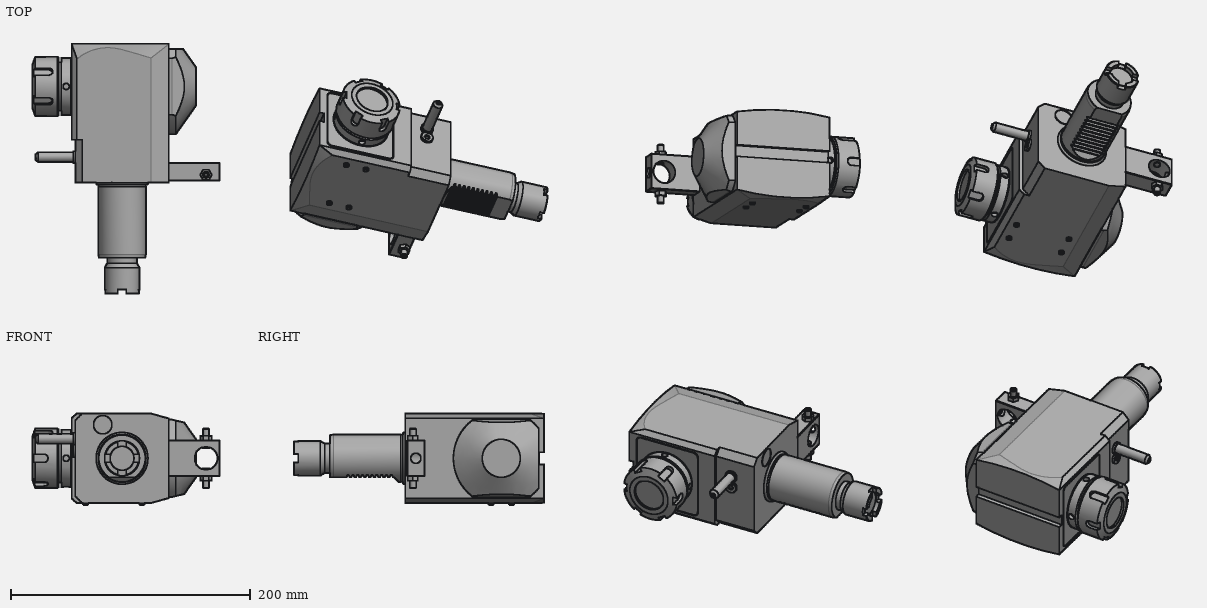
import cadquery as cq


HOUSING_BACK = 116.0
HOUSING_HALF_HEIGHT = 37.5
HOUSING_LEFT = -42.2
HOUSING_RIGHT = 39.2
REAR_EDGE_X = 4.5
REAR_EDGE_Z = 3.9
RIGHT_SLOPE_X = 15.2
RIGHT_SLOPE_Z = 4.2
STEP_Y = 35.5
FRONT_LEFT = -39.0
FRONT_EDGE = 5.8
KEYWAY_WIDTH = 10.0
KEYWAY_DEPTH = 3.9
BEVEL_LEFT_Y = 103.4
BEVEL_RIGHT_Y = 104.2
BEVEL_PEAK = (-13.5, 112.8)
BEVEL_MID_LEFT = (-27.5, 109.7)
BEVEL_MID_RIGHT = (6.0, 109.6)
CROWN_RISE = 3.3

SPINDLE_Y = 80.2
NUT_FRONT = -75.0
NUT_RADIUS = 25.0
NUT_FACE_RADIUS = 18.0
NUT_CONE_LENGTH = 2.5
NUT_BACK = -52.7
NUT_EDGE = 1.2
GROOVE_RADIUS = 20.4
COLLAR_FRONT = -50.7
COLLAR_RADIUS = 24.0
COLLAR_RELIEF_WIDTH = 0.8
COLLAR_RELIEF_DEPTH = 0.4
NOSE_BORE_RADIUS = 13.7
NOSE_BORE_DEPTH = 2.0
NUT_SLOT_COUNT = 6
NUT_SLOT_WIDTH = 6.8
NUT_SLOT_FLOOR = 21.8
NUT_SLOT_END = -61.8
LONG_NUT_SLOT_END = -58.0
COLLAR_HOLE_COUNT = 4
COLLAR_HOLE_DIAMETER = 5.2
COLLAR_HOLE_DEPTH = 4.0
COLLAR_HOLE_X = -46.7
PANEL_WIDTH = 58.2
PANEL_HEIGHT = 62.8
PANEL_RADIUS = 4.5
PANEL_LINE_WIDTH = 0.5
PANEL_LINE_DEPTH = 0.3

COVER_RADIUS = 40.0
COVER_RIM_X = 44.9
COVER_END_X = 61.9
COVER_END_RADIUS = 15.9
COVER_BACK_Y = 111.6
COVER_HALF_HEIGHT = 32.4
COVER_FLAT_END_X = 41.6
COVER_TAPER = 0.24

SHANK_RADIUS = 20.0
SHANK_END = -63.0
SHANK_END_RADIUS = 19.4
SHANK_SHOULDER = -59.9
FLANGE_RADIUS = 21.7
FLANGE_END = -1.9
FLANGE_ROUND = 1.2
RELIEF_RADIUS = 19.8
RELIEF_END = -3.6
NECK_RADIUS = 12.5
NECK_END = -67.4
COUPLING_START = -71.0
COUPLING_RADIUS = 14.6
COUPLING_END = -93.0
COUPLING_EDGE = 0.5
COUPLING_BORE_RADIUS = 10.0
COUPLING_BORE_DEPTH = 4.0
CLAW_SLOT_WIDTH = 6.8
CLAW_SLOT_DEPTH = 3.5
RACK_FLAT_Z = -16.0
RACK_RAMP_END = -9.4
TOOTH_PITCH = 4.0
TOOTH_GAP_COUNT = 10
TOOTH_GAP_FIRST = -11.7
TOOTH_GAP_DEPTH = 1.9
TOOTH_GAP_MOUTH = 2.8
TOOTH_GAP_FLOOR = 1.0

ARM_END = 81.6
ARM_FRONT = 1.4
ARM_BACK = 16.4
ARM_HALF_HEIGHT = 15.0
ARM_EDGE = 0.5
ARM_HOLE_X = 70.1
ARM_HOLE_DIAMETER = 19.0
ARM_END_HOLE_DIAMETER = 8.5
STUD_Y = 6.4
STUD_DIAMETER = 5.3
STUD_TIP = 25.0
STUD_INNER_TIP = 8.5
STUD_EDGE = 0.6
STUD_SOCKET = 2.9
STUD_SOCKET_DEPTH = 2.0
LOCK_NUT_CORNERS = 9.8
LOCK_NUT_HEIGHT = 3.7

FITTING_Y = 21.2
FITTING_DIAMETER = 10.2
FITTING_HEIGHT = 1.9
PIPE_Z = 16.2
PIPE_RADIUS = 4.1
PIPE_TIP = -72.3
PIPE_TIP_RADIUS = 2.3
PIPE_TIP_LENGTH = 2.2
PIPE_SOCKET = 3.0
PIPE_SOCKET_DEPTH = 2.0
PLUG_Z = 6.1
PLUG_SOCKET = 4.6
PLUG_SOCKET_DEPTH = 1.5
FACE_PLUG_X = -16.1
FACE_PLUG_Z = 28.0
FACE_PLUG_DIAMETER = 15.4
FACE_PLUG_RECESS = 0.5
RIVET_CENTRE_X = -6.9
RIVET_SPAN_X = 47.0
RIVET_CENTRE_Y = 80.3
RIVET_SPAN_Y = 17.1
RIVET_DIAMETER = 4.6
RIVET_HEIGHT = 1.6
RIVET_EDGE = 0.9

EMBED = 3.0
CLEAR = 5.0


def box(x0, x1, y0, y1, z0, z1):
    """Axis-aligned box between two corners."""
    return cq.Workplane("XY").box(x1 - x0, y1 - y0, z1 - z0, centered=False).translate((x0, y0, z0))


def on_left(y, z, x):
    """Workplane at X = x whose normal points toward -X."""
    return cq.Workplane(cq.Plane(origin=(x, y, z), xDir=(0, 1, 0), normal=(-1, 0, 0)))


def turned_about_y(profile):
    """Solid of revolution about the Y axis from (radius, y) points."""
    return cq.Workplane("XY").polyline(profile).close().revolve(360, (0, 0, 0), (0, 1, 0))


def turned_about_spindle(profile):
    """Solid of revolution about the spindle axis from (x, radius) points."""
    body = cq.Workplane("XY").polyline(profile).close().revolve(360, (0, 0, 0), (1, 0, 0))
    return body.translate((0, SPINDLE_Y, 0))


def around_spindle(tool, angles):
    """Copies of a tool, made about the X axis, turned about the spindle by each angle."""
    copies = cq.Workplane("XY")
    for angle in angles:
        copies = copies.add(tool.rotate((0, 0, 0), (1, 0, 0), angle))
    return copies.translate((0, SPINDLE_Y, 0)).combine()


def nut_slot(end):
    """Spanner slot on the -Y side of the nut, open at the front, with a round end."""
    start = NUT_FRONT - CLEAR
    half = NUT_SLOT_WIDTH / 2
    return (
        cq.Workplane("XZ", origin=(0, -NUT_SLOT_FLOOR, 0))
        .moveTo(start, -half).lineTo(end - half, -half).threePointArc((end, 0), (end - half, half))
        .lineTo(start, half).close().extrude(NUT_RADIUS + CLEAR - NUT_SLOT_FLOOR)
    )


def housing_section(left, edge_x, edge_z, y0, y1):
    """Housing prism with its bevelled left corners and long right slopes."""
    top = HOUSING_HALF_HEIGHT
    slope_x = HOUSING_RIGHT - RIGHT_SLOPE_X
    slope_z = top - RIGHT_SLOPE_Z
    outline = [
        (left, edge_z - top), (left, top - edge_z), (left + edge_x, top), (slope_x, top),
        (HOUSING_RIGHT, slope_z), (HOUSING_RIGHT, -slope_z), (slope_x, -top), (left + edge_x, -top),
    ]
    return cq.Workplane("XZ", origin=(0, y0, 0)).polyline(outline).close().extrude(y0 - y1)


def crown_cutter():
    """Wedge above the curved bevel between the top face and the back face."""
    top = HOUSING_HALF_HEIGHT
    point = cq.Vector
    top_left = point(HOUSING_LEFT + REAR_EDGE_X, BEVEL_LEFT_Y, top)
    top_right = point(HOUSING_RIGHT - RIGHT_SLOPE_X, BEVEL_RIGHT_Y, top)
    back_left = point(HOUSING_LEFT, HOUSING_BACK, top - REAR_EDGE_Z)
    back_right = point(HOUSING_RIGHT, HOUSING_BACK, top - RIGHT_SLOPE_Z)
    back_peak = point(BEVEL_PEAK[0], HOUSING_BACK, back_left.z + CROWN_RISE)
    corner_left = point(HOUSING_LEFT, HOUSING_BACK, top)
    corner_right = point(HOUSING_RIGHT, HOUSING_BACK, top)

    bevel_points = [point(x, y, top) for x, y in (BEVEL_MID_LEFT, BEVEL_PEAK, BEVEL_MID_RIGHT)]
    top_curve = cq.Edge.makeSpline([top_left, *bevel_points, top_right])
    back_arc = cq.Edge.makeThreePointArc(back_left, back_peak, back_right)
    corner_line = cq.Edge.makeLine(corner_left, corner_right)
    left_edges = [
        cq.Edge.makeLine(top_left, back_left),
        cq.Edge.makeLine(back_left, corner_left),
        cq.Edge.makeLine(corner_left, top_left),
    ]
    right_edges = [
        cq.Edge.makeLine(top_right, back_right),
        cq.Edge.makeLine(back_right, corner_right),
        cq.Edge.makeLine(corner_right, top_right),
    ]
    loops = [
        left_edges,
        right_edges,
        [top_curve, right_edges[2], corner_line, left_edges[2]],
        [back_arc, right_edges[1], corner_line, left_edges[1]],
    ]
    faces = [cq.Face.makeFromWires(cq.Wire.assembleEdges(loop)) for loop in loops]
    faces.append(cq.Face.makeRuledSurface(top_curve, back_arc))
    wedge = cq.Solid.makeSolid(cq.Shell.makeShell(faces))
    return cq.Workplane(obj=wedge.fix())


def housing():
    front = housing_section(FRONT_LEFT, FRONT_EDGE, FRONT_EDGE, 0, STEP_Y)
    rear = housing_section(HOUSING_LEFT, REAR_EDGE_X, REAR_EDGE_Z, STEP_Y, HOUSING_BACK)
    wedge = crown_cutter()
    rear = rear.cut(wedge).cut(wedge.mirror("XY"))
    keyway = box(
        HOUSING_LEFT - CLEAR, HOUSING_RIGHT + CLEAR,
        HOUSING_BACK - KEYWAY_DEPTH, HOUSING_BACK + CLEAR,
        -KEYWAY_WIDTH / 2, KEYWAY_WIDTH / 2,
    )
    face_plug = (
        cq.Workplane("XZ").center(FACE_PLUG_X, FACE_PLUG_Z).circle(FACE_PLUG_DIAMETER / 2)
        .extrude(-FACE_PLUG_RECESS)
    )
    return front.union(rear).cut(keyway).cut(face_plug).cut(panel_line())


def panel_line():
    """Shallow groove that outlines the square panel behind the spindle."""
    def panel(inset):
        start = on_left(SPINDLE_Y, 0, HOUSING_LEFT + PANEL_LINE_DEPTH)
        blank = start.rect(PANEL_WIDTH - 2 * inset, PANEL_HEIGHT - 2 * inset).extrude(PANEL_LINE_DEPTH)
        return blank.edges("|X").fillet(PANEL_RADIUS - inset)

    return panel(0).cut(panel(PANEL_LINE_WIDTH))


def spindle():
    base = HOUSING_LEFT + EMBED
    relief = HOUSING_LEFT - COLLAR_RELIEF_WIDTH
    bore_floor = NUT_FRONT + NOSE_BORE_DEPTH
    body = turned_about_spindle([
        (bore_floor, 0), (bore_floor, NOSE_BORE_RADIUS), (NUT_FRONT, NOSE_BORE_RADIUS),
        (NUT_FRONT, NUT_FACE_RADIUS), (NUT_FRONT + NUT_CONE_LENGTH, NUT_RADIUS),
        (NUT_BACK - NUT_EDGE, NUT_RADIUS), (NUT_BACK, NUT_RADIUS - NUT_EDGE),
        (NUT_BACK, GROOVE_RADIUS), (COLLAR_FRONT, GROOVE_RADIUS), (COLLAR_FRONT, COLLAR_RADIUS),
        (relief, COLLAR_RADIUS), (relief, COLLAR_RADIUS - COLLAR_RELIEF_DEPTH),
        (base, COLLAR_RADIUS - COLLAR_RELIEF_DEPTH), (base, 0),
    ])
    hole = (
        cq.Workplane("XZ", origin=(COLLAR_HOLE_X, COLLAR_HOLE_DEPTH - COLLAR_RADIUS, 0))
        .circle(COLLAR_HOLE_DIAMETER / 2).extrude(COLLAR_HOLE_DEPTH + CLEAR)
    )
    slot_angles = [i * 360 / NUT_SLOT_COUNT for i in range(NUT_SLOT_COUNT)]
    hole_angles = [i * 360 / COLLAR_HOLE_COUNT for i in range(COLLAR_HOLE_COUNT)]
    upper_angles = [angle for angle in slot_angles if angle > 180]
    body = body.cut(around_spindle(nut_slot(NUT_SLOT_END), slot_angles))
    body = body.cut(around_spindle(nut_slot(LONG_NUT_SLOT_END), upper_angles))
    return body.cut(around_spindle(hole, hole_angles))


def bearing_cover():
    """Conical cover clipped flat at the back, the top and the bottom."""
    base = HOUSING_RIGHT - EMBED
    cone = turned_about_spindle([
        (base, 0), (base, COVER_RADIUS), (COVER_RIM_X, COVER_RADIUS),
        (COVER_END_X, COVER_END_RADIUS), (COVER_END_X, 0),
    ])
    end_half_height = COVER_HALF_HEIGHT - COVER_TAPER * (COVER_END_X - COVER_FLAT_END_X)
    envelope = (
        cq.Workplane("XZ", origin=(0, COVER_BACK_Y, 0))
        .polyline([
            (base, -COVER_HALF_HEIGHT), (base, COVER_HALF_HEIGHT),
            (COVER_FLAT_END_X, COVER_HALF_HEIGHT), (COVER_END_X, end_half_height),
            (COVER_END_X, -end_half_height), (COVER_FLAT_END_X, -COVER_HALF_HEIGHT),
        ])
        .close().extrude(COVER_BACK_Y)
    )
    return cone.intersect(envelope)


def rack_cutter():
    """Flat with a 45 degree run-out and trapezoidal tooth gaps, cut from below."""
    depth = FLANGE_RADIUS + CLEAR + RACK_FLAT_Z
    low = RACK_FLAT_Z - depth
    start = SHANK_END - CLEAR
    half_width = FLANGE_RADIUS + CLEAR
    side = cq.Workplane("YZ", origin=(-half_width, 0, 0))
    cutter = (
        side.polyline([
            (start, low), (start, RACK_FLAT_Z), (RACK_RAMP_END, RACK_FLAT_Z), (RACK_RAMP_END + depth, low),
        ])
        .close().extrude(2 * half_width)
    )
    cutter = cutter.intersect(box(-half_width, half_width, start, FLANGE_END, low, 0))
    for i in range(TOOTH_GAP_COUNT):
        y = TOOTH_GAP_FIRST - i * TOOTH_PITCH
        gap = side.polyline([
            (y - TOOTH_GAP_MOUTH / 2, RACK_FLAT_Z), (y - TOOTH_GAP_FLOOR / 2, RACK_FLAT_Z + TOOTH_GAP_DEPTH),
            (y + TOOTH_GAP_FLOOR / 2, RACK_FLAT_Z + TOOTH_GAP_DEPTH), (y + TOOTH_GAP_MOUTH / 2, RACK_FLAT_Z),
        ]).close().extrude(2 * half_width)
        cutter = cutter.union(gap)
    return cutter


def shank():
    flange = cq.Workplane("XZ", origin=(0, EMBED, 0)).circle(FLANGE_RADIUS).extrude(EMBED - FLANGE_END)
    flange = flange.faces("<Y").edges().fillet(FLANGE_ROUND)
    body = turned_about_y([
        (0, EMBED), (RELIEF_RADIUS, EMBED), (RELIEF_RADIUS, RELIEF_END), (SHANK_RADIUS, RELIEF_END),
        (SHANK_RADIUS, SHANK_SHOULDER), (SHANK_END_RADIUS, SHANK_END), (0, SHANK_END),
    ])
    body = body.cut(rack_cutter())
    bore_floor = COUPLING_END + COUPLING_BORE_DEPTH
    coupling = turned_about_y([
        (0, SHANK_END + EMBED), (NECK_RADIUS, SHANK_END + EMBED), (NECK_RADIUS, NECK_END),
        (COUPLING_RADIUS, COUPLING_START), (COUPLING_RADIUS, COUPLING_END + COUPLING_EDGE),
        (COUPLING_RADIUS - COUPLING_EDGE, COUPLING_END), (COUPLING_BORE_RADIUS, COUPLING_END),
        (COUPLING_BORE_RADIUS, bore_floor), (0, bore_floor),
    ])
    reach = COUPLING_RADIUS + CLEAR
    half = CLAW_SLOT_WIDTH / 2
    slot_floor = COUPLING_END + CLAW_SLOT_DEPTH
    slot_across_x = box(-reach, reach, COUPLING_END - CLEAR, slot_floor, -half, half)
    slot_across_z = slot_across_x.rotate((0, 0, 0), (0, 1, 0), 90)
    return body.union(flange).union(coupling.cut(slot_across_x).cut(slot_across_z))


def arm_stud():
    """Set screw with its lock nut on the upper side of the arm."""
    rod = (
        cq.Workplane("XY", origin=(ARM_HOLE_X, STUD_Y, STUD_INNER_TIP))
        .circle(STUD_DIAMETER / 2).extrude(STUD_TIP - STUD_INNER_TIP).faces(">Z").chamfer(STUD_EDGE)
    )
    socket = (
        cq.Workplane("XY", origin=(ARM_HOLE_X, STUD_Y, STUD_TIP))
        .polygon(6, STUD_SOCKET).extrude(-STUD_SOCKET_DEPTH)
    )
    lock_nut = (
        cq.Workplane("XY", origin=(ARM_HOLE_X, STUD_Y, ARM_HALF_HEIGHT))
        .polygon(6, LOCK_NUT_CORNERS).extrude(LOCK_NUT_HEIGHT)
    )
    return rod.union(lock_nut).cut(socket)


def support_arm():
    arm = box(HOUSING_RIGHT - EMBED, ARM_END, ARM_FRONT, ARM_BACK, -ARM_HALF_HEIGHT, ARM_HALF_HEIGHT)
    arm = arm.edges("|X or >X").chamfer(ARM_EDGE)
    cross_hole = (
        cq.Workplane("XZ", origin=(ARM_HOLE_X, ARM_FRONT - CLEAR, 0))
        .circle(ARM_HOLE_DIAMETER / 2).extrude(ARM_FRONT - ARM_BACK - 2 * CLEAR)
    )
    end_hole = (
        cq.Workplane("YZ", origin=(ARM_HOLE_X, (ARM_FRONT + ARM_BACK) / 2, 0))
        .circle(ARM_END_HOLE_DIAMETER / 2).extrude(ARM_END + CLEAR - ARM_HOLE_X)
    )
    stud = arm_stud()
    return arm.cut(cross_hole).cut(end_hole).union(stud).union(stud.mirror("XY"))


def fitting(z):
    """Round head on the left face of the front part."""
    start = on_left(FITTING_Y, z, FRONT_LEFT + EMBED)
    return start.circle(FITTING_DIAMETER / 2).extrude(EMBED + FITTING_HEIGHT)


def coolant_pipe():
    shoulder = PIPE_TIP + PIPE_TIP_LENGTH
    profile = [
        (FRONT_LEFT, 0), (FRONT_LEFT, PIPE_RADIUS), (shoulder, PIPE_RADIUS),
        (PIPE_TIP, PIPE_TIP_RADIUS), (PIPE_TIP, 0),
    ]
    pipe = cq.Workplane("XY").polyline(profile).close().revolve(360, (0, 0, 0), (1, 0, 0))
    pipe = pipe.translate((0, FITTING_Y, PIPE_Z))
    socket = on_left(FITTING_Y, PIPE_Z, PIPE_TIP).polygon(6, PIPE_SOCKET).extrude(-PIPE_SOCKET_DEPTH)
    return fitting(PIPE_Z).union(pipe).cut(socket)


def coolant_plug():
    head = FRONT_LEFT - FITTING_HEIGHT
    socket = on_left(FITTING_Y, PLUG_Z, head).polygon(6, PLUG_SOCKET).extrude(-PLUG_SOCKET_DEPTH)
    return fitting(PLUG_Z).cut(socket)


def rivets():
    """Four rivet heads on the underside of the housing."""
    return (
        cq.Workplane("XY", origin=(RIVET_CENTRE_X, RIVET_CENTRE_Y, -HOUSING_HALF_HEIGHT - RIVET_HEIGHT))
        .rarray(RIVET_SPAN_X, RIVET_SPAN_Y, 2, 2).circle(RIVET_DIAMETER / 2)
        .extrude(RIVET_HEIGHT + EMBED).faces("<Z").chamfer(RIVET_EDGE)
    )


result = housing()
for feature in (spindle, bearing_cover, shank, support_arm, coolant_pipe, coolant_plug, rivets):
    result = result.union(feature())